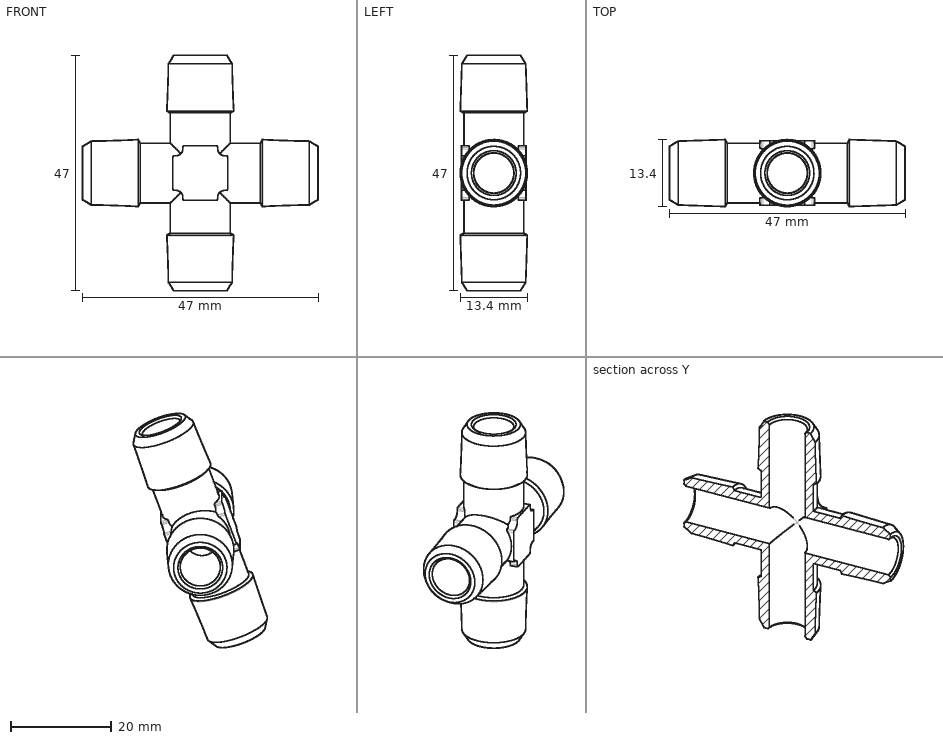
import cadquery as cq

span = 47.0
bore_diameter = 8.0
stem_diameter = 12.0

barb_diameter = 13.4
barb_front_diameter = 12.8
tip_diameter = 10.65
tip_length = 1.75
barb_length = 11.5
barb_land_length = 0.15
barb_back_length = 0.38
mouth_chamfer = 0.45

pad_thickness = 12.92
pad_width = 10.9
pad_arm_width = 6.9
pad_outer_radius = 0.3
pad_inner_radius = 1.4
corner_margin = 0.05

arm_length = span / 2
arm_directions = ((1, 0, 0), (-1, 0, 0), (0, 0, 1), (0, 0, -1))


def arm_plane(direction):
    """Plane with local X along the arm and local Y across it, parallel to Y."""
    return cq.Plane(
        origin=(0, 0, 0),
        xDir=direction,
        normal=cq.Vector(*direction).cross(cq.Vector(0, 1, 0)),
    )


def revolve_on_arm(direction, profile):
    """Revolve (distance from hub centre, radius) points about an arm axis."""
    return cq.Workplane(arm_plane(direction)).polyline(profile).close().revolve(360, (0, 0), (1, 0))


def arm_body(direction):
    """Solid arm from the hub centre out to the chamfered tip of its barb."""
    barb_start = arm_length - barb_length
    rim_start = barb_start + barb_back_length
    profile = [
        (0, 0),
        (0, stem_diameter / 2),
        (barb_start, stem_diameter / 2),
        (rim_start, barb_diameter / 2),
        (rim_start + barb_land_length, barb_diameter / 2),
        (arm_length - tip_length, barb_front_diameter / 2),
        (arm_length, tip_diameter / 2),
        (arm_length, 0),
    ]
    return revolve_on_arm(direction, profile)


def arm_bore(direction):
    """Through passage of one arm with a chamfered mouth."""
    bore_radius = bore_diameter / 2
    profile = [
        (0, 0),
        (0, bore_radius),
        (arm_length - mouth_chamfer, bore_radius),
        (arm_length, bore_radius + mouth_chamfer),
        (arm_length, 0),
    ]
    return revolve_on_arm(direction, profile)


def hub_pads():
    """One cross-shaped block through the hub; its two ends form the pads."""
    upright = cq.Workplane("XY").box(pad_arm_width, pad_thickness, pad_width)
    level = cq.Workplane("XY").box(pad_width, pad_thickness, pad_arm_width)
    upright = upright.edges("|Y").fillet(pad_outer_radius)
    level = level.edges("|Y").fillet(pad_outer_radius)
    cross = upright.union(level)

    corner_box = pad_arm_width / 2 + corner_margin
    inner_corners = cq.selectors.BoxSelector(
        (-corner_box, -pad_thickness, -corner_box),
        (corner_box, pad_thickness, corner_box),
    )
    return cross.edges("|Y").edges(inner_corners).fillet(pad_inner_radius)


result = hub_pads()
for arm_direction in arm_directions:
    result = result.union(arm_body(arm_direction))
for arm_direction in arm_directions:
    result = result.cut(arm_bore(arm_direction))